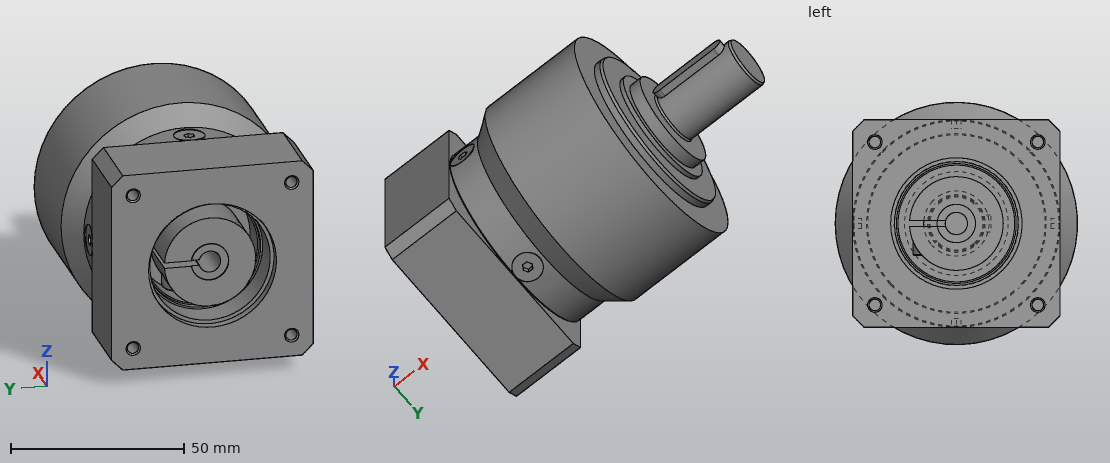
import cadquery as cq
import math

total_length = 111.0
plate_end = 24.0
neck_end = 34.5
cone_end = 41.5
body_end = 74.9
pilot_end = 77.9
step_end = 79.3
collar_end = 83.0

plate_side = 59.9
plate_chamfer = 3.3
bolt_spacing = 47.1
bolt_hole_radius = 1.7
bolt_countersink = 0.4
bolt_hole_depth = 13.3

body_diameter = 70.0
neck_chamfer = 0.3
pilot_radius = 26.0
pilot_chamfer_length = 0.9
pilot_chamfer_height = 0.3
step_radius = 18.0
collar_radius = 15.0
shaft_radius = 8.0
shaft_fillet_length = 0.7
shaft_fillet_height = 0.3
shaft_chamfer_length = 0.8
shaft_chamfer_height = 0.3

key_length = 25.0
key_width = 5.0
key_height = 10.0
key_start = 83.8

register_radius = 19.0
register_depth = 3.0
pocket_radius = 17.9
pocket_depth = 12.4
relief_radius = 17.3
relief_depth = 14.4
inner_radius = 16.9
floor_depth = plate_end

hub_face = register_depth
hub_radius = 13.5
hub_back = 20.0
back_disc_radius = 9.4
sleeve_radius = 5.5
sleeve_recess = 0.3
sleeve_slot_end = 16.0
bore_radius = 3.2
slot_width = 1.7

screw_x = 10.0
screw_y = 7.4
screw_head_radius = 5.1
screw_head_bottom = -9.2
screw_head_height = 5.0
screw_head_chamfer = 0.3

plug_x = 28.7
plug_radius = 4.5
plug_count = 4
plug_hex_flats = 2.8
plug_hex_depth = 2.2

neck_radius = plate_side / 2
body_radius = body_diameter / 2


def x_cylinder(radius, start, end):
    """Solid cylinder along X between two positions."""
    return cq.Workplane("YZ").workplane(offset=start).circle(radius).extrude(end - start)


def make_plate():
    plate = cq.Workplane("YZ").rect(plate_side, plate_side).extrude(plate_end)
    return plate.edges("|X").chamfer(plate_chamfer)


def make_housing():
    """Turned housing with the pilot, collar and output shaft."""
    profile = [
        (plate_end, 0),
        (plate_end, neck_radius - neck_chamfer),
        (plate_end + neck_chamfer, neck_radius),
        (neck_end, neck_radius),
        (cone_end, body_radius),
        (body_end, body_radius),
        (body_end, pilot_radius),
        (pilot_end - pilot_chamfer_length, pilot_radius),
        (pilot_end, pilot_radius - pilot_chamfer_height),
        (pilot_end, step_radius),
        (step_end, step_radius),
        (step_end, collar_radius),
        (collar_end, collar_radius),
        (collar_end, shaft_radius + shaft_fillet_height),
        (collar_end + shaft_fillet_length, shaft_radius),
        (total_length - shaft_chamfer_length, shaft_radius),
        (total_length, shaft_radius - shaft_chamfer_height),
        (total_length, 0),
    ]
    return cq.Workplane("XY").polyline(profile).close().revolve(360, (0, 0, 0), (1, 0, 0))


def make_key():
    key = cq.Workplane("XZ").center(key_start + key_length / 2, 0)
    return key.slot2D(key_length, key_width).extrude(key_height)


def make_pocket():
    pocket = x_cylinder(register_radius, 0, register_depth)
    pocket = pocket.union(x_cylinder(pocket_radius, 0, pocket_depth))
    pocket = pocket.union(x_cylinder(relief_radius, 0, relief_depth))
    return pocket.union(x_cylinder(inner_radius, 0, floor_depth))


def make_clamp_hub():
    """Slotted clamp ring around a slotted sleeve, with the clamp screw head."""
    ring = x_cylinder(hub_radius, hub_face, hub_back)
    ring = ring.union(
        cq.Workplane("XY", origin=(screw_x, screw_y, screw_head_bottom))
        .circle(screw_head_radius)
        .extrude(screw_head_height)
        .faces("<Z")
        .chamfer(screw_head_chamfer)
    )
    ring_slot = cq.Workplane("XY").box(
        hub_back - hub_face, 2 * hub_radius, slot_width, centered=(False, False, True)
    )
    ring = ring.cut(ring_slot.translate((hub_face, 0, 0)))
    ring = ring.cut(x_cylinder(sleeve_radius, hub_face, hub_back))

    sleeve = x_cylinder(sleeve_radius, hub_face + sleeve_recess, floor_depth)
    sleeve_slot = cq.Workplane("XY").box(
        sleeve_slot_end - hub_face, 2 * sleeve_radius, slot_width, centered=(False, False, True)
    )
    sleeve = sleeve.cut(sleeve_slot.translate((hub_face, 0, 0)))

    back_disc = x_cylinder(back_disc_radius, hub_back, floor_depth)
    hub = ring.union(back_disc).union(sleeve)
    return hub.cut(x_cylinder(bore_radius, hub_face, floor_depth))


def cut_bolt_holes(part):
    """Countersunk blind holes in the corners of the plate."""
    holes = cq.Workplane("YZ").rect(bolt_spacing, bolt_spacing, forConstruction=True).vertices()
    part = part.cut(holes.circle(bolt_hole_radius).extrude(bolt_hole_depth))
    countersinks = holes.circle(bolt_hole_radius + bolt_countersink).extrude(bolt_countersink, taper=45)
    return part.cut(countersinks)


def cut_plugs(part):
    """Flat plug faces with hexagon sockets, evenly spaced around the neck."""
    flat_height = math.sqrt(neck_radius**2 - plug_radius**2)
    hex_corner_diameter = plug_hex_flats / math.cos(math.pi / 6)
    flat = cq.Workplane("XY", origin=(plug_x, 0, flat_height)).circle(plug_radius)
    flat = flat.extrude(neck_radius - flat_height)
    socket = cq.Workplane("XY", origin=(plug_x, 0, flat_height)).polygon(6, hex_corner_diameter)
    cutter = flat.union(socket.extrude(-plug_hex_depth))
    for index in range(plug_count):
        part = part.cut(cutter.rotate((0, 0, 0), (1, 0, 0), index * 360 / plug_count))
    return part


result = make_plate().union(make_housing()).union(make_key())
result = result.cut(make_pocket()).union(make_clamp_hub())
result = cut_bolt_holes(result)
result = cut_plugs(result)